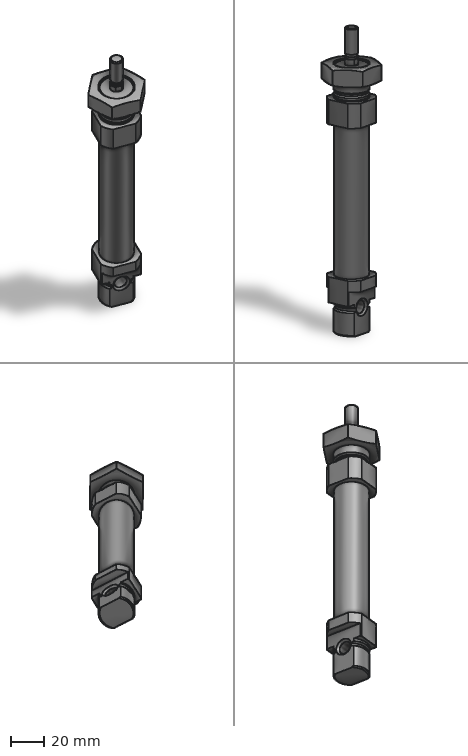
import cadquery as cq
import math

total_height = 192.0
eye_hole_z = 17.0
eye_block_bottom = 20.2
rear_flange_bottom = 29.2
rear_flange_top = 36.3
front_head_bottom = 132.3
front_head_top = 147.8
nut_bottom = 158.4
front_collar_top = 168.5
nut_top = 169.3

collar_diameter = 22.0
collar_end_chamfer = 0.86
tube_diameter = 21.3
head_width = 26.1
head_corner_diameter = 30.0
eye_thickness = 16.1
eye_hole_diameter = 8.0
eye_hole_mouth_diameter = 11.0

groove_neck_diameter = 19.8
rear_groove_bottom = 15.0
rear_groove_top = 18.5
front_groove_bottom = 150.1
front_groove_top = 153.2
groove_wall_rise = 1.0
seat_neck_diameter = 21.3
seat_neck_height = 0.8

nut_across_flats = 32.0
nut_face_diameter = 31.5
nut_corner_diameter = 36.9
nut_chamfer_angle = 15.0

rod_diameter = 8.0
rod_tip_chamfer = 0.8
thread_end_z = 175.7
rod_neck_diameter = 6.3
rod_neck_bottom = 172.5
rod_neck_top = 173.8
rod_flat_width = 7.1


def cylinder(diameter, bottom, top):
    return cq.Workplane("XY").workplane(offset=bottom).circle(diameter / 2).extrude(top - bottom)


def cone_ring(outer_diameter, neck_diameter, bottom, top, lower_rise, upper_rise):
    """Cutting ring that leaves a neck with sloping or square shoulders."""
    outer = outer_diameter / 2
    neck = neck_diameter / 2
    points = [(outer, bottom), (neck, bottom + lower_rise), (neck, top - upper_rise), (outer, top)]
    clearance = 2.0
    points += [(outer + clearance, top), (outer + clearance, bottom)]
    return cq.Workplane("XZ").polyline(points).close().revolve(360, (0, 0, 0), (0, 1, 0))


def rounded_square(bottom, top):
    """Square bar whose corners lie on a common cylinder."""
    height = top - bottom
    square = cq.Workplane("XY").workplane(offset=bottom).rect(head_width, head_width).extrude(height)
    return square.intersect(cylinder(head_corner_diameter, bottom, top))


def slab(thickness, bottom, top):
    """Wide slab bounded by two flats facing -X and +X."""
    width = 2 * head_corner_diameter
    return cq.Workplane("XY").workplane(offset=bottom).rect(thickness, width).extrude(top - bottom)


def collar_groove(bottom, top):
    return cone_ring(collar_diameter, groove_neck_diameter, bottom, top, groove_wall_rise, groove_wall_rise)


def make_rear_eye():
    collar = cylinder(collar_diameter, 0, eye_block_bottom)
    collar = collar.faces("<Z").chamfer(collar_end_chamfer)
    collar = collar.cut(collar_groove(rear_groove_bottom, rear_groove_top))
    eye = collar.union(rounded_square(eye_block_bottom, rear_flange_bottom))
    return eye.intersect(slab(eye_thickness, 0, rear_flange_bottom))


def make_eye_hole():
    """Cross hole along X with a countersink at both flats."""
    half_length = eye_thickness / 2
    hole_radius = eye_hole_diameter / 2
    mouth_radius = eye_hole_mouth_diameter / 2
    countersink_depth = mouth_radius - hole_radius
    profile = [
        (-half_length, 0),
        (-half_length, mouth_radius),
        (-half_length + countersink_depth, hole_radius),
        (half_length - countersink_depth, hole_radius),
        (half_length, mouth_radius),
        (half_length, 0),
    ]
    hole = cq.Workplane("XZ").polyline(profile).close().revolve(360, (0, 0, 0), (1, 0, 0))
    return hole.translate((0, 0, eye_hole_z))


def make_front_collar():
    collar = cylinder(collar_diameter, front_head_top, front_collar_top)
    collar = collar.faces(">Z").chamfer(collar_end_chamfer)
    collar = collar.cut(collar_groove(front_groove_bottom, front_groove_top))
    seat_neck_top = front_head_top + seat_neck_height
    return collar.cut(cone_ring(collar_diameter, seat_neck_diameter, front_head_top, seat_neck_top, 0, 0))


def make_housing():
    housing = make_rear_eye().union(rounded_square(rear_flange_bottom, rear_flange_top))
    housing = housing.union(cylinder(tube_diameter, rear_flange_top, front_head_bottom))
    housing = housing.union(rounded_square(front_head_bottom, front_head_top))
    housing = housing.union(make_front_collar())
    housing = housing.cut(make_eye_hole())
    return housing.cut(cylinder(rod_diameter, front_head_bottom, front_collar_top))


def make_nut():
    """Hexagon nut, corners on +Y and -Y, with conical chamfers on both faces."""
    height = nut_top - nut_bottom
    sharp_diameter = nut_across_flats / math.cos(math.radians(30))
    hexagon = cq.Workplane("XY").workplane(offset=nut_bottom).polygon(6, sharp_diameter).extrude(height)
    hexagon = hexagon.rotate((0, 0, 0), (0, 0, 1), 90)
    chamfer_width = (nut_corner_diameter - nut_face_diameter) / 2
    chamfer_height = chamfer_width * math.tan(math.radians(nut_chamfer_angle))
    envelope = cylinder(nut_corner_diameter, nut_bottom, nut_top)
    envelope = envelope.faces(">Z").chamfer(chamfer_height, chamfer_width)
    envelope = envelope.faces("<Z").chamfer(chamfer_height, chamfer_width)
    return hexagon.intersect(envelope).cut(cylinder(collar_diameter, nut_bottom, nut_top))


def make_rod():
    """Rod seated in the front head, with wrench flats and a threaded end."""
    rod = cylinder(rod_diameter, front_head_bottom, total_height)
    rod = rod.faces(">Z").chamfer(rod_tip_chamfer)
    taper_height = thread_end_z - rod_neck_top
    rod = rod.cut(cone_ring(rod_diameter, rod_neck_diameter, rod_neck_bottom, thread_end_z, 0, taper_height))
    flat_zone = cylinder(rod_diameter, front_collar_top, rod_neck_bottom)
    return rod.cut(flat_zone.cut(slab(rod_flat_width, front_collar_top, rod_neck_bottom)))


housing = make_housing()
nut = make_nut()
rod = make_rod()
result = cq.Compound.makeCompound([housing.val(), nut.val(), rod.val()])